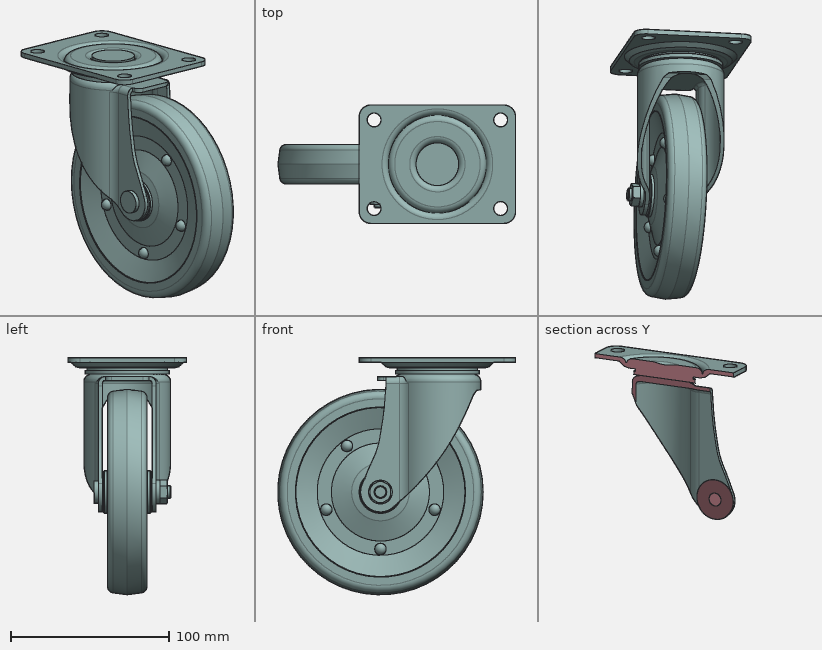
import cadquery as cq
import math


plate_length = 99.0
plate_width = 75.0
plate_thickness = 3.0
plate_corner_radius = 7.5
plate_hole_diameter = 8.6
plate_hole_spacing_x = 80.0
plate_hole_spacing_y = 56.0

groove_middle_radius = 31.0
groove_lip_radius = 4.0
groove_outer_radius = groove_middle_radius + groove_lip_radius
groove_inner_radius = groove_middle_radius - groove_lip_radius
pin_recess_radius = 17.5
pin_radius = 13.5

dish_top_radius = 35.7
dish_wall_radius = 32.6
dish_wall_z = -5.8
dish_floor_radius = 29.5
dish_floor_z = -6.7
neck_radius = 25.5
race_radius = 26.6
race_top_z = -8.0
race_bottom_z = -10.5

sheet = 2.5
fork_top_z = -12.0
fork_radius = 27.5
fork_top_fillet = 4.4
dome_fillet = 4.8
leg_outer_y = 18.25
leg_bend_radius = 8.5
leg_front_x = -32.6
lip_front_x = -38.0
lip_corner_radius = 4.0
leg_end_radius = 12.5
leg_front_straight_z = -18.0
leg_front_curve = [(-33.7, -32.4), (-35.2, -43.8), (-39.2, -60.9), (-43.0, -69.3)]
leg_front_tangent_angle = 155
leg_rear_tangent_angle = -43
leg_rear_curve = [(-7.4, -74.6), (8.0, -53.8), (17.9, -35.1), (22.8, -23.6)]
rear_notch = (24.7, -20.9)
rear_hem_z = -20.3

axle_x = -36.0
axle_z = -85.0
wheel_radius = 65.0
tread_edge_radius = 63.8
tread_half_width = 8.9
tyre_half_width = 12.5
tyre_face_radius = 59.0
shoulder_radius = 62.4
shoulder_half_width = 11.5
rim_radius = 53.8
rim_step = 0.4
web_outer_radius = 40.0
web_inner_radius = 31.0
web_half_width = 7.0
cone_top_radius = 18.2
cone_top_half_width = 11.6
hub_radius = 13.5
hub_root_half_width = 12.7
hub_half_width = 14.9
hub_chamfer = 0.5
spacer_radius = 8.6
rivet_count = 5
rivet_circle_radius = 36.0
rivet_radius = 3.65

bolt_radius = 4.0
bolt_head_radius = 7.1
bolt_head_height = 2.75
washer_radius = 7.5
washer_height = 2.3
nut_across_flats = 13.0
nut_height = 4.8
nut_chamfer = 0.8
bolt_end_y = -27.6
bolt_end_chamfer = 0.6


def build_plate():
    """Flat plate with a pressed ring groove on top and the swivel race below."""
    plate = (
        cq.Workplane("XY")
        .workplane(offset=-plate_thickness)
        .rect(plate_length, plate_width)
        .extrude(plate_thickness)
        .edges("|Z")
        .fillet(plate_corner_radius)
    )
    swivel = (
        cq.Workplane("XZ")
        .moveTo(0, -plate_thickness)
        .lineTo(dish_top_radius, -plate_thickness)
        .lineTo(dish_wall_radius, dish_wall_z)
        .lineTo(dish_floor_radius, dish_floor_z)
        .lineTo(neck_radius, dish_floor_z)
        .lineTo(neck_radius, race_top_z)
        .lineTo(race_radius, race_top_z)
        .lineTo(race_radius, race_bottom_z)
        .lineTo(0, race_bottom_z)
        .close()
        .revolve(360, (0, 0, 0), (0, 1, 0))
    )
    holes = (
        cq.Workplane("XY")
        .rect(plate_hole_spacing_x, plate_hole_spacing_y, forConstruction=True)
        .vertices()
        .circle(plate_hole_diameter / 2)
        .extrude(-plate_thickness)
    )
    return plate.union(swivel).cut(holes).cut(ring_groove()).cut(pin_recess())


def lip_point(start_radius, end_radius):
    """Midpoint of a quarter-round lip that leaves the top face level and ends upright."""
    lip_radius = abs(end_radius - start_radius)
    diagonal = math.sin(math.radians(45))
    radius = start_radius + (end_radius - start_radius) * diagonal
    return radius, -lip_radius * (1 - diagonal)


def ring_groove():
    """Groove between two quarter-round lips of the same radius."""
    return (
        cq.Workplane("XZ")
        .moveTo(groove_outer_radius, 0)
        .threePointArc(
            lip_point(groove_outer_radius, groove_middle_radius),
            (groove_middle_radius, -groove_lip_radius),
        )
        .threePointArc(
            lip_point(groove_inner_radius, groove_middle_radius),
            (groove_inner_radius, 0),
        )
        .close()
        .revolve(360, (0, 0, 0), (0, 1, 0))
    )


def pin_recess():
    """Quarter-round lip that drops to the upright side of the centre pin."""
    recess_depth = pin_recess_radius - pin_radius
    return (
        cq.Workplane("XZ")
        .moveTo(pin_recess_radius, 0)
        .threePointArc(
            lip_point(pin_recess_radius, pin_radius),
            (pin_radius, -recess_depth),
        )
        .lineTo(pin_radius, 0)
        .close()
        .revolve(360, (0, 0, 0), (0, 1, 0))
    )


def fork_block(front_x, inset, top_z, top_fillet):
    """Solid with the fork's plan: straight sides that bend outward onto a round back."""
    back_radius = fork_radius - inset
    side_y = leg_outer_y - inset
    bend_radius = leg_bend_radius + inset
    bend_y = side_y + bend_radius
    centre_distance = back_radius + bend_radius
    bend_x = -math.sqrt(centre_distance**2 - bend_y**2)
    back_x = bend_x * back_radius / centre_distance
    back_y = bend_y * back_radius / centre_distance
    half_angle = math.atan2(back_x - bend_x, bend_y - back_y) / 2
    mid_x = bend_x + bend_radius * math.sin(half_angle)
    mid_y = bend_y - bend_radius * math.cos(half_angle)
    block = (
        cq.Workplane("XY")
        .workplane(offset=top_z)
        .moveTo(front_x, -side_y)
        .lineTo(bend_x, -side_y)
        .threePointArc((mid_x, -mid_y), (back_x, -back_y))
        .threePointArc((back_radius, 0), (back_x, back_y))
        .threePointArc((mid_x, mid_y), (bend_x, side_y))
        .lineTo(front_x, side_y)
        .close()
        .extrude(axle_z - 2 * leg_end_radius - top_z)
    )
    return block.faces(">Z").edges("not <X").fillet(top_fillet)


def leg_end_point(angle):
    """Point on the round lower end of the legs, as (x, z)."""
    turn = math.radians(angle)
    return axle_x + leg_end_radius * math.cos(turn), axle_z + leg_end_radius * math.sin(turn)


def fork_side_profile():
    """Side outline of the legs: curved front edge, round end and sloping rear edge."""
    front_end = leg_end_point(leg_front_tangent_angle)
    rear_end = leg_end_point(leg_rear_tangent_angle)
    return (
        cq.Workplane("XZ")
        .moveTo(leg_front_x, race_bottom_z)
        .lineTo(leg_front_x, leg_front_straight_z)
        .spline(leg_front_curve + [front_end], includeCurrent=True)
        .threePointArc((axle_x, axle_z - leg_end_radius), rear_end)
        .spline(leg_rear_curve, includeCurrent=True)
        .lineTo(*rear_notch)
        .lineTo(fork_radius, rear_hem_z)
        .lineTo(fork_radius, race_bottom_z)
        .close()
        .extrude(fork_radius, both=True)
    )


def fork_dome():
    """Rounded crown that lifts the top of the fork up to the race ring."""
    dome_bottom_z = fork_top_z - fork_top_fillet
    return (
        cq.Workplane("XY")
        .workplane(offset=dome_bottom_z)
        .circle(fork_radius)
        .extrude(race_bottom_z - dome_bottom_z)
        .faces(">Z")
        .edges()
        .fillet(dome_fillet)
    )


def build_fork():
    """Pressed sheet fork: top, round back and two flat legs that carry the axle."""
    front_end_x = axle_x - 2 * leg_end_radius
    outside = fork_block(front_end_x, 0, fork_top_z, fork_top_fillet)
    inside = fork_block(front_end_x, sheet, fork_top_z - sheet, fork_top_fillet - sheet)
    shell = outside.union(fork_dome()).cut(inside).intersect(fork_side_profile())
    lip = (
        cq.Workplane("XY")
        .workplane(offset=fork_top_z - sheet)
        .moveTo((lip_front_x + leg_front_x) / 2, 0)
        .rect(leg_front_x - lip_front_x, 2 * (leg_outer_y - fork_top_fillet))
        .extrude(sheet)
        .edges("|Z and <X")
        .fillet(lip_corner_radius)
    )
    return shell.union(lip).cut(axle_cylinder(bolt_radius, -leg_outer_y, leg_outer_y))


def axle_cylinder(radius, start_y, end_y):
    """Cylinder on the axle line from start_y to end_y."""
    return (
        cq.Workplane("XZ", origin=(axle_x, start_y, axle_z))
        .circle(radius)
        .extrude(start_y - end_y)
    )


def build_wheel():
    """Crowned tyre, dished web, hub and rivet heads, the same on both sides."""
    spacer_half_width = leg_outer_y - sheet
    shoulder = (shoulder_radius, shoulder_half_width)
    wheel = (
        cq.Workplane("XY")
        .moveTo(bolt_radius, 0)
        .lineTo(bolt_radius, spacer_half_width)
        .lineTo(spacer_radius, spacer_half_width)
        .lineTo(spacer_radius, hub_half_width)
        .lineTo(hub_radius - hub_chamfer, hub_half_width)
        .lineTo(hub_radius, hub_half_width - hub_chamfer)
        .lineTo(hub_radius, hub_root_half_width)
        .lineTo(cone_top_radius, cone_top_half_width)
        .lineTo(web_inner_radius, web_half_width)
        .lineTo(web_outer_radius, web_half_width)
        .lineTo(rim_radius - rim_step, tyre_half_width - rim_step)
        .lineTo(rim_radius, tyre_half_width - rim_step)
        .lineTo(rim_radius, tyre_half_width)
        .lineTo(tyre_face_radius, tyre_half_width)
        .threePointArc(shoulder, (tread_edge_radius, tread_half_width))
        .lineTo(wheel_radius, 0)
        .close()
        .revolve(360, (0, 0, 0), (0, 1, 0))
    )
    rivet = cq.Workplane("XY").sphere(rivet_radius)
    for index in range(rivet_count):
        angle = math.radians(270 + index * 360 / rivet_count)
        rivet_x = rivet_circle_radius * math.cos(angle)
        rivet_z = rivet_circle_radius * math.sin(angle)
        wheel = wheel.union(rivet.translate((rivet_x, -web_half_width, rivet_z)))
    wheel = wheel.union(wheel.mirror("XZ"))
    return wheel.translate((axle_x, 0, axle_z))


def build_axle():
    """Bolt with a round head on the +Y side, and a washer and hexagon nut on the -Y side."""
    shank = axle_cylinder(bolt_radius, bolt_end_y, leg_outer_y)
    shank = shank.faces("<Y").chamfer(bolt_end_chamfer)
    head = axle_cylinder(bolt_head_radius, leg_outer_y, leg_outer_y + bolt_head_height)
    washer_face_y = -leg_outer_y - washer_height
    washer = axle_cylinder(washer_radius, washer_face_y, -leg_outer_y)
    nut_across_corners = nut_across_flats / math.cos(math.radians(30))
    nut = (
        cq.Workplane("XZ", origin=(axle_x, washer_face_y, axle_z))
        .transformed(rotate=(0, 0, 30))
        .polygon(6, nut_across_corners)
        .extrude(nut_height)
    )
    nut_round = axle_cylinder(nut_across_corners / 2, washer_face_y - nut_height, washer_face_y)
    nut = nut.intersect(nut_round.faces("<Y").chamfer(nut_chamfer / 2, nut_chamfer))
    return shank.union(head).union(washer).union(nut)


plate = build_plate()
fork = build_fork()
wheel = build_wheel()
axle = build_axle()

bodies = [plate, fork, wheel, axle]
result = cq.Compound.makeCompound([body.solids().val() for body in bodies])